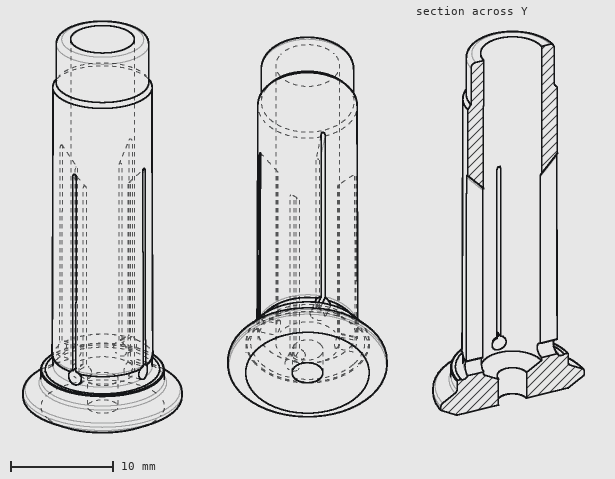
import cadquery as cq
import math

flange_radius = 7.75
flange_foot_radius = 6.0
flange_slope = 30.0
rim_round = 0.4
lower_rim_round = 0.2

collar_radius = 6.0
collar_top = 4.0
collar_foot_top = 2.92
collar_foot_round = 0.4
collar_chamfer = 0.08

neck_radius = 4.8
neck_groove_round = 0.47
neck_groove_height = 4.4

sleeve_bottom = 5.5
sleeve_bottom_radius = 9.85 / 2
sleeve_top = 34.35
sleeve_top_radius = 9.68 / 2
sleeve_chamfer_height = 0.3
sleeve_chamfer_depth = 0.08

end_radius = 4.5
shoulder_top = 34.85
end_round = 0.5
total_height = 39.5

bore_radius = 6.2 / 2
hole_radius = 3.0 / 2
cone_bottom = 2.95
cone_slope = 30.0

slot_count = 4
slot_width = 0.4
slot_outer_top = 26.85
slot_inner_top = 24.95
relief_diameter = 1.5
relief_height = 4.98


def round_depth(radius, angle):
    """Radial distance a round covers from its upright tangent through an angle."""
    return radius * (1 - math.cos(angle))


def round_rise(radius, angle):
    """Height a round covers from its upright tangent through an angle."""
    return radius * math.sin(angle)


def make_body():
    """Revolve the outer outline, without bore or slots, around Z."""
    slope = math.radians(flange_slope)
    rise = math.tan(slope)
    turn = math.pi / 2 - slope

    low_tangent_radius = flange_radius - round_depth(lower_rim_round, turn)
    low_tangent_height = (low_tangent_radius - flange_foot_radius) * rise
    rim_bottom = low_tangent_height + round_rise(lower_rim_round, turn)
    low_mid = (
        flange_radius - round_depth(lower_rim_round, turn / 2),
        rim_bottom - round_rise(lower_rim_round, turn / 2),
    )

    foot_radius = collar_radius + round_depth(collar_foot_round, turn)
    foot_height = collar_foot_top - round_rise(collar_foot_round, turn)
    foot_middle = (
        collar_radius + round_depth(collar_foot_round, turn / 2),
        collar_foot_top - round_rise(collar_foot_round, turn / 2),
    )

    high_tangent_radius = flange_radius - round_depth(rim_round, turn)
    high_tangent_height = foot_height - (high_tangent_radius - foot_radius) * rise
    rim_top = high_tangent_height - round_rise(rim_round, turn)
    high_mid = (
        flange_radius - round_depth(rim_round, turn / 2),
        rim_top + round_rise(rim_round, turn / 2),
    )

    groove_centre = neck_radius + neck_groove_round
    groove_drop = neck_groove_height - collar_top
    groove_edge = groove_centre + math.sqrt(neck_groove_round**2 - groove_drop**2)
    groove_bottom = (groove_centre, neck_groove_height - neck_groove_round)

    end_mid = (
        end_radius - round_depth(end_round, math.pi / 4),
        total_height - round_depth(end_round, math.pi / 4),
    )

    outline = (
        cq.Workplane("XZ")
        .moveTo(0, 0)
        .lineTo(flange_foot_radius, 0)
        .lineTo(low_tangent_radius, low_tangent_height)
        .threePointArc(low_mid, (flange_radius, rim_bottom))
        .lineTo(flange_radius, rim_top)
        .threePointArc(high_mid, (high_tangent_radius, high_tangent_height))
        .lineTo(foot_radius, foot_height)
        .threePointArc(foot_middle, (collar_radius, collar_foot_top))
        .lineTo(collar_radius, collar_top - collar_chamfer)
        .lineTo(collar_radius - collar_chamfer, collar_top)
        .lineTo(groove_edge, collar_top)
        .threePointArc(groove_bottom, (neck_radius, neck_groove_height))
        .lineTo(neck_radius, sleeve_bottom)
        .lineTo(sleeve_bottom_radius - sleeve_chamfer_depth, sleeve_bottom)
        .lineTo(sleeve_bottom_radius, sleeve_bottom + sleeve_chamfer_height)
        .lineTo(sleeve_top_radius, sleeve_top)
        .lineTo(end_radius, shoulder_top)
        .lineTo(end_radius, total_height - end_round)
        .threePointArc(end_mid, (end_radius - end_round, total_height))
        .lineTo(0, total_height)
        .close()
    )
    return outline.revolve(360, (0, 0, 0), (0, 1, 0))


def make_bore():
    """Bore from the top, a conical floor and a through hole."""
    cone_top = cone_bottom + (bore_radius - hole_radius) * math.tan(math.radians(cone_slope))
    outline = cq.Workplane("XZ").polyline([
        (0, 0),
        (hole_radius, 0),
        (hole_radius, cone_bottom),
        (bore_radius, cone_top),
        (bore_radius, total_height),
        (0, total_height),
    ]).close()
    return outline.revolve(360, (0, 0, 0), (0, 1, 0))


def make_slot():
    """Slot toward +X with a round-topped end that slopes down into the bore."""
    half_width = slot_width / 2
    wall = sleeve_top_radius - bore_radius
    slope = math.atan2(slot_outer_top - slot_inner_top, wall)
    axis_drop = half_width / math.cos(slope)
    inner_radius = hole_radius
    outer_radius = collar_radius

    def axis_height(radius):
        return slot_inner_top - axis_drop + (radius - bore_radius) * math.tan(slope)

    channel = (
        cq.Workplane("XZ")
        .polyline([
            (inner_radius, relief_height),
            (outer_radius, relief_height),
            (outer_radius, axis_height(outer_radius)),
            (inner_radius, axis_height(inner_radius)),
        ])
        .close()
        .extrude(half_width, both=True)
    )
    crown = cq.Workplane(cq.Solid.makeCylinder(
        half_width,
        (outer_radius - inner_radius) / math.cos(slope),
        cq.Vector(inner_radius, 0, axis_height(inner_radius)),
        cq.Vector(math.cos(slope), 0, math.sin(slope)),
    ))
    relief = (
        cq.Workplane("YZ")
        .center(0, relief_height)
        .circle(relief_diameter / 2)
        .extrude(outer_radius)
    )
    return channel.union(crown).union(relief)


result = make_body().cut(make_bore())
slot = make_slot()
for index in range(slot_count):
    result = result.cut(slot.rotate((0, 0, 0), (0, 0, 1), index * 360 / slot_count))